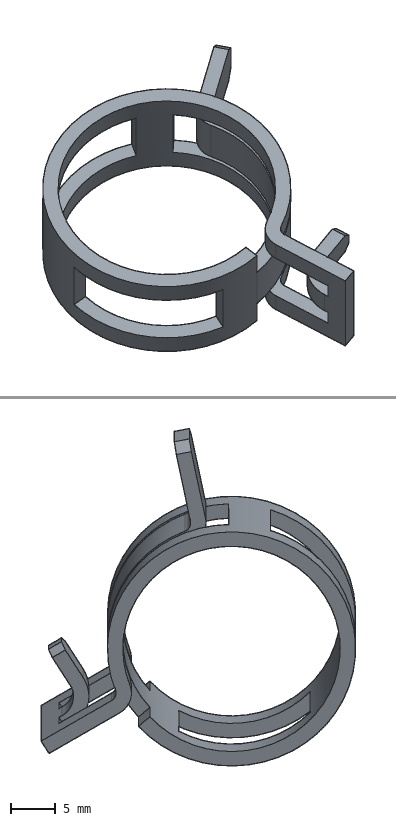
import cadquery as cq
import math


band_height = 12.0
outer_radius = 13.85
thickness = 1.7
inner_radius = outer_radius - thickness

tab_angle = 35.0
tab_tip_x = 19.5
tab_tip_y = 13.7
bend_radius = 1.0

window_height = 6.9
front_web_angle = 40.0
side_web_start = 5.3
side_web_end = 25.0
window_end_margin = 2.35

tongue_height = 5.77
tongue_tip_chamfer = 1.15

hook_height = 2.95
hook_flat = 0.43
hook_bend_radius = 2.6
hook_reach = 8.97
hook_tip_chamfer = 0.8

cos_tab = math.cos(math.radians(tab_angle))
sin_tab = math.sin(math.radians(tab_angle))
tip_along = tab_tip_x * cos_tab + tab_tip_y * sin_tab
lower_face = tab_tip_y * cos_tab - tab_tip_x * sin_tab
upper_face = lower_face + thickness

bend_across = upper_face + bend_radius
bend_along = math.sqrt((outer_radius + bend_radius) ** 2 - bend_across**2)
bend_angle = tab_angle + math.degrees(math.atan2(bend_across, bend_along))

along_tab = cq.Vector(cos_tab, sin_tab, 0)
across_tab = cq.Vector(-sin_tab, cos_tab, 0)
tab_plane = cq.Plane(origin=(0, 0, 0), xDir=along_tab, normal=(0, 0, 1))


def polar(radius, angle):
    return (radius * math.cos(math.radians(angle)), radius * math.sin(math.radians(angle)))


def in_tab_frame(radius, angle):
    return polar(radius, angle - tab_angle)


def ring_sector(start, end, height):
    """Part of the ring running counterclockwise from start to end."""
    middle = (start + end) / 2
    return (
        cq.Workplane("XY")
        .moveTo(*polar(outer_radius, start))
        .threePointArc(polar(outer_radius, middle), polar(outer_radius, end))
        .lineTo(*polar(inner_radius, end))
        .threePointArc(polar(inner_radius, middle), polar(inner_radius, start))
        .close()
        .extrude(height / 2, both=True)
    )


def window_cutter(start, end):
    """Wedge that cuts a window with radial ends through the ring."""
    reach = 2 * outer_radius
    return (
        cq.Workplane("XY")
        .moveTo(0, 0)
        .lineTo(*polar(reach, start))
        .threePointArc(polar(reach, (start + end) / 2), polar(reach, end))
        .close()
        .extrude(window_height / 2, both=True)
    )


def bent_tab(height):
    """Bend and tab on the +X side, joining the ring at bend_angle."""
    half_turn = math.radians(90 - (bend_angle - tab_angle)) / 2

    def bend_middle(radius):
        return (bend_along - radius * math.sin(half_turn), bend_across - radius * math.cos(half_turn))

    return (
        cq.Workplane(tab_plane)
        .moveTo(*in_tab_frame(outer_radius, bend_angle))
        .threePointArc(bend_middle(bend_radius), (bend_along, upper_face))
        .lineTo(tip_along, upper_face)
        .lineTo(tip_along, lower_face)
        .lineTo(bend_along, lower_face)
        .threePointArc(bend_middle(bend_radius + thickness), in_tab_frame(inner_radius, bend_angle))
        .close()
        .extrude(height / 2, both=True)
    )


def wide_band():
    front_left = 270 - front_web_angle / 2
    front_right = 270 + front_web_angle / 2
    band = ring_sector(bend_angle, 360 + side_web_end, band_height).union(bent_tab(band_height))
    band = band.cut(window_cutter(180 - side_web_start, front_left))
    band = band.cut(window_cutter(front_right, 360 + side_web_start))

    window_end = tip_along - window_end_margin
    short_of_margin = (
        cq.Workplane(tab_plane)
        .rect(2 * window_end, 2 * tip_along)
        .extrude(band_height, both=True)
    )
    band = band.cut(ring_sector(bend_angle, 180 - side_web_end, window_height))
    return band.cut(bent_tab(window_height).intersect(short_of_margin))


def chamfer_tip(strip, tip_direction, size):
    """Chamfer the two corners of a strip's end face that lies furthest along tip_direction."""
    end_face = strip.faces(cq.DirectionMinMaxSelector(tip_direction, True))
    corners = end_face.edges("#Z")
    return corners.chamfer(size)


def tongue():
    tab = chamfer_tip(bent_tab(tongue_height), along_tab, tongue_tip_chamfer)
    return ring_sector(side_web_end, 180 - bend_angle, tongue_height).union(tab.mirror("YZ"))


def hook():
    """Root in the window's end wall, then a quarter bend away from the tab's upper face."""
    root = tip_along - window_end_margin
    bend_start = root - hook_flat
    inner_side = bend_start - hook_bend_radius
    outer_side = inner_side - thickness
    bend_centre = upper_face + hook_bend_radius
    tip = lower_face + hook_reach
    diagonal = math.sqrt(0.5)
    inner_offset = hook_bend_radius * diagonal
    outer_offset = (hook_bend_radius + thickness) * diagonal
    strip = (
        cq.Workplane(tab_plane)
        .moveTo(root, lower_face)
        .lineTo(root, upper_face)
        .lineTo(bend_start, upper_face)
        .threePointArc((bend_start - inner_offset, bend_centre - inner_offset), (inner_side, bend_centre))
        .lineTo(inner_side, tip)
        .lineTo(outer_side, tip)
        .lineTo(outer_side, bend_centre)
        .threePointArc((bend_start - outer_offset, bend_centre - outer_offset), (bend_start, lower_face))
        .close()
        .extrude(hook_height / 2, both=True)
    )
    return chamfer_tip(strip, across_tab, hook_tip_chamfer)


result = wide_band().union(tongue()).union(hook())